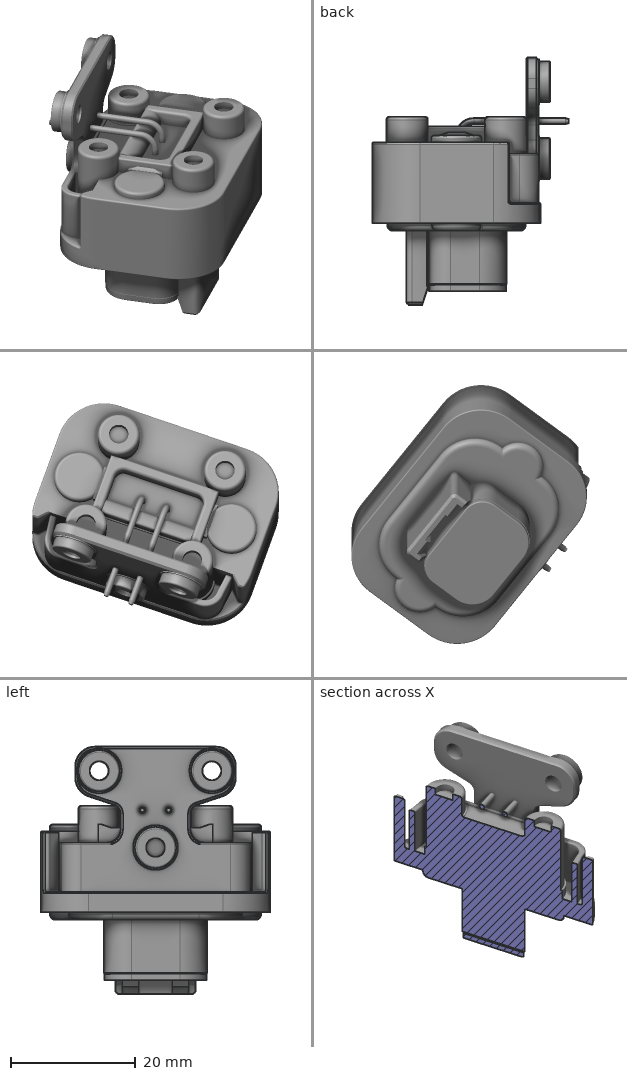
import cadquery as cq
import math

BODY_X = 27.0
BODY_Y = 36.82
BODY_TOP = 13.0
BODY_CORNER = 7.6
BODY_TOP_EDGE = 0.3
BODY_BOTTOM_EDGE = 0.2
LEDGE_EDGE = 0.25
STEP_EDGE = 0.3
LEDGE_Z = 3.35
STEP_X = -6.93
STEP_Y = 15.5
STEP_OUTER_X = -8.5
STEP_OUTER_Y = 17.0

POST_X = 7.9
POST_Y = 9.03
POST_R = 3.33
POST_TOP = 17.1
POST_EDGE = 0.5
POST_HOLE_R = 1.55
POST_HOLE_DEPTH = 1.2
POST_BASE_R = 3.6
POST_BASE_TOP = 5.0

CAP_Y = 12.9
CAP_R = 4.05
CAP_TOP = 14.1
CAP_EDGE = 0.5
CAP_WEB_LENGTH = 2.7
CAP_WEB_FOOT = 5.6
CAP_WEB_SIZE = 0.5
CAP_WEB_BEVEL = 0.45

PLATE_FRONT = -13.15
PLATE_THICKNESS = 2.0
PLATE_BACK = PLATE_FRONT + PLATE_THICKNESS
PLATE_TOP = 26.6
PLATE_FRONT_EDGE = 0.4
PLATE_BACK_EDGE = 0.25
EAR_R = 3.3
EAR_SIDE_Y = 12.9
EAR_CORNER_Y = EAR_SIDE_Y - EAR_R
EAR_SIDE_TOP = PLATE_TOP - EAR_R
EAR_SIDE_BOTTOM = 21.7
EAR_SLOPE = math.radians(18.5)
EAR_BOSS_Y = POST_Y
EAR_BOSS_Z = 22.7
NECK_Y = 5.6
NECK_UPPER_R = 1.5
NECK_LOWER_R = 2.2

BOSS_R = 3.3
BOSS_FRONT = -15.0
BOSS_EDGE = 0.25
BOSS_FOOT_R = 3.6
BOSS_FOOT_THICKNESS = 0.15
BOSS_HOLE_R = 1.5
CENTER_BOSS_Z = 10.4
CENTER_HOLE_DEPTH = 1.5

WALL_TOP = 11.2
WALL_THICKNESS = 1.1
WALL_Y = 15.5
WALL_CORNER_Y = 15.1
WALL_CORNER_R = 3.1
WALL_EDGE = 0.3

FRAME_Y = 9.15
FRAME_LEFT = -4.85
FRAME_RIGHT = 4.7
FRAME_TOP = 15.6
FRAME_EDGE = 0.3
POCKET_FLOOR = 13.2
POCKET_Y = 7.5
POCKET_LEFT = -4.3
POCKET_RIGHT = 3.05
POCKET_CORNER = 1.5
POCKET_EDGE = 0.5
LIP_RIGHT = -2.1
TRAY_TOP = CAP_TOP
TRAY_FRONT = -11.3
TRAY_LEFT = -10.76
TRAY_RIGHT = -5.06
TRAY_Y = 7.2
TRAY_FLOOR = 13.2
POST_RING_TOP = 13.4
DIP_Z = 13.6
DIP_TOP_Y = 8.6

PIN_R = 0.5
PIN_Y = 2.1
PIN_Z = 16.4
PIN_TIP = -18.0
PIN_TIP_LENGTH = 0.6
PIN_TIP_TAPER = 0.15
PIN_BEND_START = -2.8
PIN_BEND_R = 2.4

PAD_DEPTH = 1.2
PAD_X = 22.2
PAD_Y = 27.8
PAD_CORNER = 7.0
PAD_EDGE = 1.0

PLUG_LEFT = -8.07
PLUG_RIGHT = 4.5
PLUG_Y = 8.3
PLUG_BOTTOM = -10.9
PLUG_CORNER_LEFT = 4.4
PLUG_CORNER_RIGHT = 3.5
PLUG_EDGE = 0.2
GROOVE_TOP = -9.7
GROOVE_HEIGHT = 0.15
GROOVE_DEPTH = 1.0
COLLAR_INSET = 0.08

TONGUE_RIGHT = 8.07
TONGUE_BOTTOM = -13.1
TONGUE_Y = 6.45
TONGUE_THICKNESS = 1.2
TONGUE_CORNER = 0.87
TONGUE_EDGE = 0.45
RIB_THICKNESS = 1.15
RIB_LEFT = 4.72
RIB_SLANT_TOP = -10.05
RIB_BOTTOM_X = 5.5
GUIDE_INNER_Y = 2.7
GUIDE_OUTER_Y = 5.3
GUIDE_THICKNESS = 1.1
GUIDE_TAPER_HEIGHT = 1.15
GUIDE_TAPER_DEPTH = 0.7

SIDES = (-1, 1)


def box(x0, x1, y0, y1, z0, z1):
    return cq.Workplane("XY").box(x1 - x0, y1 - y0, z1 - z0, centered=False).translate((x0, y0, z0))


def post(x, y, radius, z0, z1):
    return cq.Workplane("XY").workplane(offset=z0).center(x, y).circle(radius).extrude(z1 - z0)


def disc_along_x(x0, x1, y, z, radius):
    return cq.Workplane("YZ").workplane(offset=x0).center(y, z).circle(radius).extrude(x1 - x0)


def mirrored(half):
    """Join a feature with its mirror image across the XZ plane."""
    return half.union(half.mirror("XZ"))


def make_body():
    """Rounded housing with a step cut down to a ledge on the -X side."""
    body = (
        cq.Workplane("XY")
        .rect(BODY_X, BODY_Y)
        .extrude(BODY_TOP)
        .edges("|Z")
        .fillet(BODY_CORNER)
    )
    step = (
        cq.Workplane("XY")
        .workplane(offset=LEDGE_Z)
        .moveTo(-BODY_X, -BODY_Y)
        .lineTo(STEP_OUTER_X, -BODY_Y)
        .lineTo(STEP_OUTER_X, -STEP_OUTER_Y)
        .lineTo(STEP_X, -STEP_Y)
        .lineTo(STEP_X, STEP_Y)
        .lineTo(STEP_OUTER_X, STEP_OUTER_Y)
        .lineTo(STEP_OUTER_X, BODY_Y)
        .lineTo(-BODY_X, BODY_Y)
        .close()
        .extrude(BODY_TOP)
    )
    body = body.faces("<Z").edges().fillet(BODY_BOTTOM_EDGE)
    body = body.faces(">Z").edges().fillet(BODY_TOP_EDGE)
    step = step.edges("|Z").edges(cq.selectors.BoxSelector(
        (STEP_OUTER_X - STEP_EDGE, -BODY_Y / 2, 0),
        (STEP_OUTER_X + STEP_EDGE, BODY_Y / 2, 2 * BODY_TOP),
    )).fillet(STEP_EDGE)
    step = step.faces("<Z").edges(cq.selectors.BoxSelector(
        (STEP_OUTER_X - STEP_EDGE, -BODY_Y, 0),
        (STEP_X + STEP_EDGE, BODY_Y, BODY_TOP),
    )).fillet(STEP_EDGE)
    body = body.cut(step)
    ledge_rim = cq.selectors.BoxSelector(
        (-BODY_X, -BODY_Y, LEDGE_Z - LEDGE_EDGE),
        (STEP_OUTER_X - STEP_EDGE, BODY_Y, LEDGE_Z + LEDGE_EDGE),
    )
    return body.edges(ledge_rim).chamfer(LEDGE_EDGE)


def wall_half_outline(offset, height):
    """Solid block inside the wall outline, shrunk inward by the offset."""
    front = PLATE_FRONT + offset
    corner_y = WALL_CORNER_Y - offset
    radius = WALL_CORNER_R - offset
    middle = radius * (1 - math.sqrt(0.5))
    return (
        cq.Workplane("XY")
        .workplane(offset=LEDGE_Z)
        .moveTo(front, 0)
        .lineTo(front, corner_y - radius)
        .threePointArc((front + middle, corner_y - middle), (front + radius, corner_y))
        .lineTo(STEP_X, WALL_Y - offset)
        .lineTo(STEP_X, 0)
        .close()
        .extrude(height)
    )


def make_wall():
    """U-shaped wall standing on the ledge around the front posts."""
    height = WALL_TOP - LEDGE_Z
    outer = mirrored(wall_half_outline(0, height))
    inner = mirrored(wall_half_outline(WALL_THICKNESS, height))
    return outer.cut(inner).faces(">Z").edges("not #X").fillet(WALL_EDGE)


def plate_half():
    """Half of the mounting plate: ear, sloped underside, neck and flared foot."""
    tangent_y = EAR_CORNER_Y + EAR_R * math.sin(EAR_SLOPE)
    tangent_z = EAR_SIDE_BOTTOM - EAR_R * math.cos(EAR_SLOPE)
    slope_end_y = NECK_Y + NECK_UPPER_R * (1 - math.sin(EAR_SLOPE))
    slope_end_z = tangent_z - (tangent_y - slope_end_y) * math.tan(EAR_SLOPE)
    neck_top_z = slope_end_z - NECK_UPPER_R * math.cos(EAR_SLOPE)
    mid_angle = EAR_SLOPE / 2 + math.pi / 4
    neck_mid = (
        NECK_Y + NECK_UPPER_R * (1 - math.sin(mid_angle)),
        neck_top_z + NECK_UPPER_R * math.cos(mid_angle),
    )
    lower_mid = (
        EAR_CORNER_Y + EAR_R * math.sin(mid_angle),
        EAR_SIDE_BOTTOM - EAR_R * math.cos(mid_angle),
    )
    ear_mid = EAR_R * math.sqrt(0.5)
    flare_mid = NECK_LOWER_R * (1 - math.sqrt(0.5))
    return (
        cq.Workplane("YZ")
        .workplane(offset=PLATE_FRONT)
        .moveTo(0, PLATE_TOP)
        .lineTo(EAR_CORNER_Y, PLATE_TOP)
        .threePointArc((EAR_CORNER_Y + ear_mid, EAR_SIDE_TOP + ear_mid), (EAR_SIDE_Y, EAR_SIDE_TOP))
        .lineTo(EAR_SIDE_Y, EAR_SIDE_BOTTOM)
        .threePointArc(lower_mid, (tangent_y, tangent_z))
        .lineTo(slope_end_y, slope_end_z)
        .threePointArc(neck_mid, (NECK_Y, neck_top_z))
        .lineTo(NECK_Y, WALL_TOP + NECK_LOWER_R)
        .threePointArc(
            (NECK_Y + flare_mid, WALL_TOP + flare_mid),
            (NECK_Y + NECK_LOWER_R, WALL_TOP),
        )
        .lineTo(NECK_Y + NECK_LOWER_R, LEDGE_Z)
        .lineTo(0, LEDGE_Z)
        .close()
        .extrude(PLATE_THICKNESS)
    )


def make_plate():
    plate = mirrored(plate_half()).faces("<X").edges().chamfer(PLATE_FRONT_EDGE)
    return plate.faces(">X").edges().chamfer(PLATE_BACK_EDGE)


def make_boss(y, z):
    """Round mounting boss on the -X face of the plate, with a slim foot."""
    boss = disc_along_x(BOSS_FRONT, PLATE_FRONT, y, z, BOSS_R).faces("<X").edges().fillet(BOSS_EDGE)
    foot = disc_along_x(PLATE_FRONT - BOSS_FOOT_THICKNESS, PLATE_FRONT, y, z, BOSS_FOOT_R)
    return boss.union(foot)


def tray_cavity():
    """Shallow tray in the low box, leaving a ring around each front post."""
    cavity = box(TRAY_LEFT, TRAY_RIGHT, -TRAY_Y, TRAY_Y, TRAY_FLOOR, TRAY_TOP)
    for side in SIDES:
        cavity = cavity.cut(post(-POST_X, side * POST_Y, POST_BASE_R, TRAY_FLOOR, POST_RING_TOP))
    return cavity


def make_frame():
    """Raised frame with a low box in front and a lipped pocket in the middle."""
    tray = box(TRAY_FRONT, FRAME_LEFT, -FRAME_Y, FRAME_Y, LEDGE_Z, TRAY_TOP)
    dip = (
        cq.Workplane("YZ", origin=(TRAY_FRONT, 0, 0))
        .polyline([(-DIP_TOP_Y, TRAY_TOP), (-TRAY_Y, DIP_Z), (TRAY_Y, DIP_Z), (DIP_TOP_Y, TRAY_TOP)])
        .close()
        .extrude(FRAME_LEFT - TRAY_FRONT)
    )
    tray = tray.cut(dip)
    frame = box(FRAME_LEFT, FRAME_RIGHT, -FRAME_Y, FRAME_Y, LEDGE_Z, FRAME_TOP)
    frame = frame.faces(">Z").edges("not <X").fillet(FRAME_EDGE)
    pocket = box(2 * FRAME_LEFT, POCKET_RIGHT, -POCKET_Y, POCKET_Y, POCKET_FLOOR, FRAME_TOP)
    pocket = pocket.edges("|Z and >X").fillet(POCKET_CORNER)
    frame = frame.cut(pocket)
    rim = cq.selectors.BoxSelector(
        (2 * FRAME_LEFT, -POCKET_Y - POCKET_EDGE / 2, FRAME_TOP - POCKET_EDGE / 2),
        (POCKET_RIGHT + POCKET_EDGE / 2, POCKET_Y + POCKET_EDGE / 2, FRAME_TOP + POCKET_EDGE / 2),
    )
    frame = frame.faces(">Z").edges(rim).edges("not <X").fillet(POCKET_EDGE)
    lip = box(FRAME_LEFT, LIP_RIGHT, -POCKET_Y, POCKET_Y, POCKET_FLOOR, FRAME_TOP)
    lip = lip.edges("|Y and >X and >Z").fillet(LIP_RIGHT - POCKET_LEFT)
    lip = lip.edges("|Y and <X and >Z").fillet(FRAME_EDGE)
    return tray.union(frame).union(lip)


def make_cap(side):
    """Round cap on the housing, with a sloped web joining it to the frame."""
    cap = post(0, side * CAP_Y, CAP_R, 0, CAP_TOP).faces(">Z").edges().fillet(CAP_EDGE)
    foot = CAP_WEB_FOOT / 2
    flat = CAP_WEB_LENGTH / 2
    web_z = CAP_TOP + CAP_WEB_SIZE
    web = (
        cq.Workplane("XZ")
        .moveTo(-foot, BODY_TOP)
        .lineTo(-foot, CAP_TOP)
        .lineTo(-flat, web_z)
        .lineTo(flat, web_z)
        .lineTo(foot, CAP_TOP)
        .lineTo(foot, BODY_TOP)
        .close()
        .extrude(-side * CAP_WEB_SIZE)
        .translate((0, side * FRAME_Y, 0))
    )
    outer_edge = ">Y" if side > 0 else "<Y"
    web = web.faces(outer_edge).edges(">Z").chamfer(CAP_WEB_BEVEL)
    return cap.union(web)


def make_posts():
    posts = None
    for x in (-POST_X, POST_X):
        for y in (-POST_Y, POST_Y):
            one = post(x, y, POST_R, LEDGE_Z, POST_TOP).faces(">Z").edges().fillet(POST_EDGE)
            one = one.union(post(x, y, POST_BASE_R, LEDGE_Z, POST_BASE_TOP))
            one = one.cut(post(x, y, POST_HOLE_R, POST_TOP - POST_HOLE_DEPTH, POST_TOP))
            posts = one if posts is None else posts.union(one)
    return posts


def make_pin(y):
    """Contact pin running along X, then bending down into the pocket."""
    path = (
        cq.Workplane("XZ", origin=(0, y, 0))
        .moveTo(PIN_TIP, PIN_Z)
        .lineTo(PIN_BEND_START, PIN_Z)
        .radiusArc((PIN_BEND_START + PIN_BEND_R, PIN_Z - PIN_BEND_R), PIN_BEND_R)
        .lineTo(PIN_BEND_START + PIN_BEND_R, POCKET_FLOOR - PIN_R)
    )
    pin = cq.Workplane("YZ", origin=(PIN_TIP, y, PIN_Z)).circle(PIN_R).sweep(path)
    return pin.faces("<X").edges().chamfer(PIN_TIP_LENGTH, PIN_TIP_TAPER)


def make_pad():
    """Rounded pad and cap undersides below the housing."""
    pad = cq.Workplane("XY").rect(PAD_X, PAD_Y).extrude(-PAD_DEPTH).edges("|Z").fillet(PAD_CORNER)
    pad = pad.faces("<Z").edges().fillet(PAD_EDGE)
    for side in SIDES:
        cap = post(0, side * CAP_Y, CAP_R, -PAD_DEPTH, 0)
        pad = pad.union(cap.faces("<Z").edges().fillet(PAD_EDGE))
    return pad


def plug_block(inset, z0, z1):
    block = box(PLUG_LEFT + inset, PLUG_RIGHT - inset, inset - PLUG_Y, PLUG_Y - inset, z0, z1)
    block = block.edges("|Z and <X").fillet(PLUG_CORNER_LEFT - inset)
    return block.edges("|Z and >X").fillet(PLUG_CORNER_RIGHT - inset)


def make_plug():
    """Connector plug with a thin groove above its end collar."""
    groove_bottom = GROOVE_TOP - GROOVE_HEIGHT
    collar = plug_block(COLLAR_INSET, PLUG_BOTTOM, groove_bottom)
    collar = collar.faces("<Z").edges().fillet(PLUG_EDGE)
    core = plug_block(GROOVE_DEPTH, groove_bottom, GROOVE_TOP)
    return plug_block(0, GROOVE_TOP, 0).union(core).union(collar)


def make_tongue():
    """Key beside the plug: a back plate, two slanted side ribs and two guides."""
    back_x = TONGUE_RIGHT - TONGUE_THICKNESS
    tongue = box(back_x, TONGUE_RIGHT, -TONGUE_Y, TONGUE_Y, TONGUE_BOTTOM, 0)
    ribs = (
        cq.Workplane("XZ", origin=(0, TONGUE_Y, 0))
        .moveTo(RIB_LEFT, 0)
        .lineTo(RIB_LEFT, RIB_SLANT_TOP)
        .lineTo(PLUG_RIGHT, RIB_SLANT_TOP)
        .lineTo(RIB_BOTTOM_X, TONGUE_BOTTOM)
        .lineTo(back_x, TONGUE_BOTTOM)
        .lineTo(back_x, 0)
        .close()
        .extrude(RIB_THICKNESS)
    )
    tongue = tongue.union(mirrored(ribs))
    tongue = tongue.edges("|Z and >X").fillet(TONGUE_CORNER)
    tongue = tongue.edges("<Z").edges(">Y or <Y").chamfer(TONGUE_EDGE)
    guide_left = back_x - GUIDE_THICKNESS
    guide = (
        cq.Workplane("XZ", origin=(0, GUIDE_OUTER_Y, 0))
        .moveTo(guide_left, 0)
        .lineTo(guide_left, TONGUE_BOTTOM + GUIDE_TAPER_HEIGHT)
        .lineTo(guide_left + GUIDE_TAPER_DEPTH, TONGUE_BOTTOM)
        .lineTo(back_x, TONGUE_BOTTOM)
        .lineTo(back_x, 0)
        .close()
        .extrude(GUIDE_OUTER_Y - GUIDE_INNER_Y)
    )
    return tongue.union(mirrored(guide))


result = make_body()
result = result.union(make_frame()).cut(tray_cavity())
for feature in (make_wall(), make_plate(), make_posts(), make_pad(), make_plug(), make_tongue()):
    result = result.union(feature)
for side in SIDES:
    result = result.union(make_cap(side))
    result = result.union(make_boss(side * EAR_BOSS_Y, EAR_BOSS_Z))
result = result.union(make_boss(0, CENTER_BOSS_Z))

for side in SIDES:
    result = result.cut(disc_along_x(BOSS_FRONT, PLATE_BACK, side * EAR_BOSS_Y, EAR_BOSS_Z, BOSS_HOLE_R))
    result = result.union(make_pin(side * PIN_Y))
center_hole_end = BOSS_FRONT + CENTER_HOLE_DEPTH
result = result.cut(disc_along_x(BOSS_FRONT, center_hole_end, 0, CENTER_BOSS_Z, BOSS_HOLE_R))